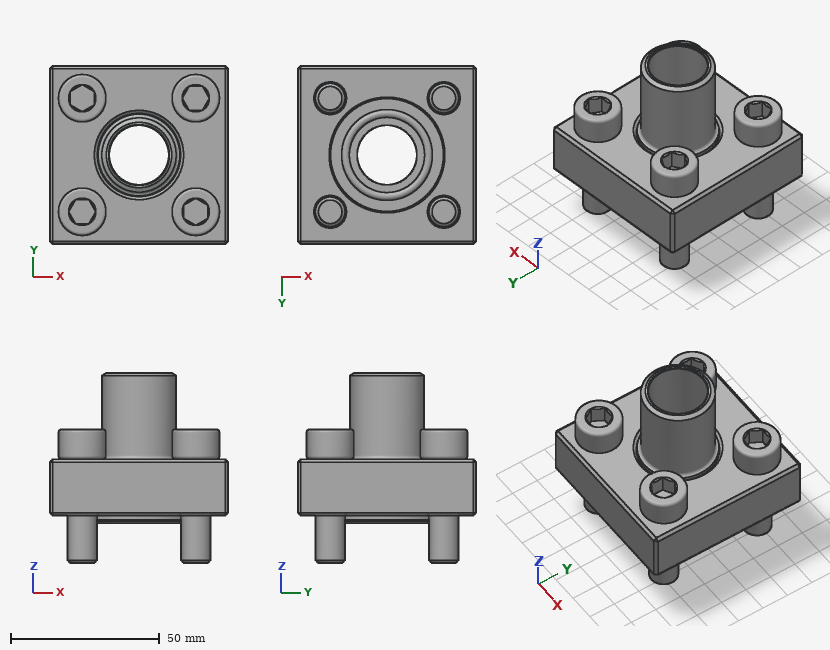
import cadquery as cq
import math

total_height = 64.0
plate_bottom = 16.0
plate_thickness = 19.0
plate_top = plate_bottom + plate_thickness

plate_side = 60.0
plate_edge_chamfer = 1.0
neck_hole_diameter = 28.0
neck_hole_chamfer = 1.0
bolt_circle_diameter = 54.0
screw_hole_diameter = 11.0

bore_diameter = 20.0
tube_diameter = 25.0
tube_rim_diameter = 22.0
tube_bevel_angle = 30.0
tube_edge_break = 0.25
neck_diameter = 27.5
collar_diameter = 39.0
collar_edge_chamfer = 0.5
collar_projection = 2.0
collar_height = 7.0
collar_bottom = plate_bottom - collar_projection
collar_top = collar_bottom + collar_height
tube_fillet = (neck_diameter - tube_diameter) / 2

groove_inner_diameter = 25.3
groove_outer_diameter = 30.6
ring_projection = 0.65
ring_section = (groove_outer_diameter - groove_inner_diameter) / 2
ring_mean_radius = (groove_outer_diameter + groove_inner_diameter) / 4
groove_depth = ring_section - ring_projection

screw_count = 4
first_screw_angle = 45.0
shank_diameter = 10.0
shank_tip_chamfer = 1.0
head_diameter = 16.0
head_height = 10.0
head_fillet = 1.0
socket_diameter = 9.2
socket_depth = 6.5
socket_lead_angle = 45.0


def cylinder(diameter, bottom, height):
    return cq.Workplane("XY").workplane(offset=bottom).circle(diameter / 2).extrude(height)


def screw_places():
    """Turn and XY centre of each screw, one at each corner of the plate."""
    places = []
    for index in range(screw_count):
        turn = index * 360 / screw_count
        angle = math.radians(first_screw_angle + turn)
        x = bolt_circle_diameter / 2 * math.cos(angle)
        y = bolt_circle_diameter / 2 * math.sin(angle)
        places.append((turn, x, y))
    return places


def make_plate():
    """Square flange with a chamfered neck hole, a counterbore below and screw holes."""
    plate = (
        cq.Workplane("XY")
        .workplane(offset=plate_bottom)
        .rect(plate_side, plate_side)
        .extrude(plate_thickness)
        .edges()
        .chamfer(plate_edge_chamfer)
    )
    plate = plate.cut(cylinder(neck_hole_diameter, plate_bottom, plate_thickness))
    plate = plate.faces(">Z").edges("%CIRCLE").chamfer(neck_hole_chamfer)
    plate = plate.cut(cylinder(collar_diameter, plate_bottom, collar_top - plate_bottom))
    for _, x, y in screw_places():
        hole = cylinder(screw_hole_diameter, plate_bottom, plate_thickness)
        plate = plate.cut(hole.translate((x, y, 0)))
    return plate


def make_weld_neck():
    """Turned body whose neck ends level with the top of the plate."""
    bevel_width = (tube_diameter - tube_rim_diameter) / 2 - tube_edge_break
    bevel_bottom = total_height - bevel_width * math.tan(math.radians(tube_bevel_angle))
    bore_radius = bore_diameter / 2
    tube_radius = tube_diameter / 2
    neck_radius = neck_diameter / 2
    collar_radius = collar_diameter / 2
    fillet_middle = tube_fillet * (1 - math.sqrt(0.5))
    profile = (
        cq.Workplane("XZ")
        .moveTo(bore_radius, collar_bottom)
        .lineTo(collar_radius - collar_edge_chamfer, collar_bottom)
        .lineTo(collar_radius, collar_bottom + collar_edge_chamfer)
        .lineTo(collar_radius, collar_top)
        .lineTo(neck_radius, collar_top)
        .lineTo(neck_radius, plate_top)
        .threePointArc(
            (tube_radius + fillet_middle, plate_top + fillet_middle),
            (tube_radius, plate_top + tube_fillet),
        )
        .lineTo(tube_radius, bevel_bottom - tube_edge_break)
        .lineTo(tube_radius - tube_edge_break, bevel_bottom)
        .lineTo(tube_rim_diameter / 2, total_height)
        .lineTo(bore_radius + tube_edge_break, total_height)
        .lineTo(bore_radius, total_height - tube_edge_break)
        .close()
    )
    weld_neck = profile.revolve(360, (0, 0, 0), (0, 1, 0))
    groove = cylinder(groove_outer_diameter, collar_bottom, groove_depth)
    groove = groove.cut(cylinder(groove_inner_diameter, collar_bottom, groove_depth))
    return weld_neck.cut(groove)


def make_sealing_ring():
    """Round-section ring that stands slightly below the collar."""
    section_radius = ring_section / 2
    ring_middle = collar_bottom - ring_projection + section_radius
    return (
        cq.Workplane("XZ")
        .center(ring_mean_radius, ring_middle)
        .circle(section_radius)
        .revolve(360, (-ring_mean_radius, 0, 0), (-ring_mean_radius, 1, 0))
    )


def make_screw():
    """A screw on the Z axis with two flats of its socket facing +Y and -Y."""
    head_top = plate_top + head_height
    head = cylinder(head_diameter, plate_top, head_height).edges().fillet(head_fillet)
    shank = cylinder(shank_diameter, 0, plate_top).faces("<Z").edges().chamfer(shank_tip_chamfer)
    socket = (
        cq.Workplane("XY")
        .workplane(offset=head_top)
        .polygon(6, socket_diameter)
        .extrude(-socket_depth)
    )
    cone_radius = socket_diameter / 2
    cone_depth = cone_radius * math.tan(math.radians(socket_lead_angle))
    lead_in = cq.Workplane(
        cq.Solid.makeCone(0, cone_radius, cone_depth, cq.Vector(0, 0, head_top - cone_depth))
    )
    return head.union(shank).cut(socket).cut(lead_in)


plate = make_plate()
weld_neck = make_weld_neck()
sealing_ring = make_sealing_ring()

screws = []
for turn, x, y in screw_places():
    turned_screw = make_screw().rotate((0, 0, 0), (0, 0, 1), turn)
    screws.append(turned_screw.translate((x, y, 0)).val())

result = cq.Compound.makeCompound([plate.val(), weld_neck.val(), sealing_ring.val(), *screws])